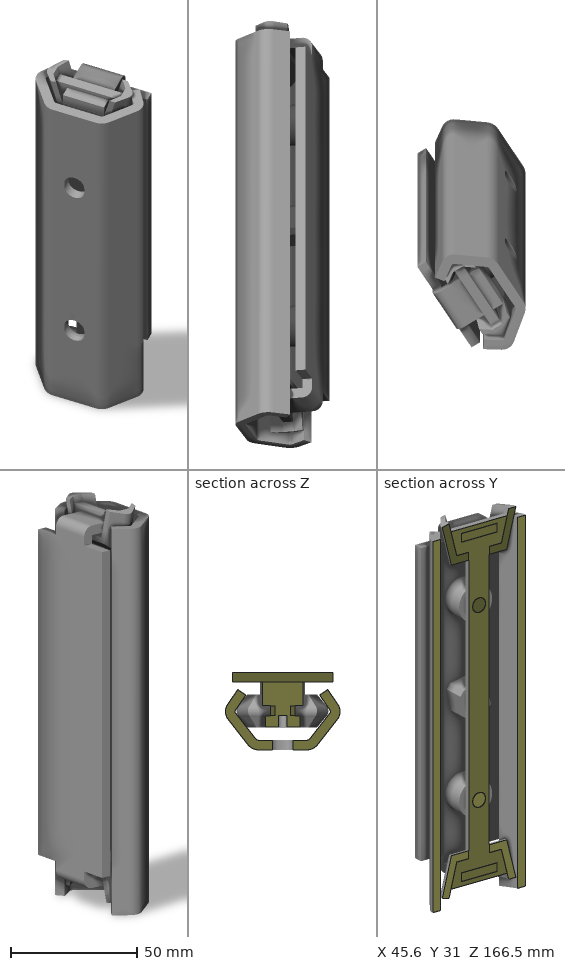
import cadquery as cq
import math

sheet = 4.0
overall_height = 166.5

housing_length = 160.0
front_corner_x = 12.2
side_corner_x = 24.0
side_corner_y = 15.2
lip_x = 17.8
lip_y = 24.1
front_fold_radius = 6.0
side_fold_radius = 5.0
slot_width = 8.5
slot_height = 11.0
slot_pitch = 80.0

carrier_rear_y = 31.0
carrier_front_y = carrier_rear_y - sheet
carrier_width = 40.0
tab_top = housing_length
carrier_middle_z = 85.0
carrier_length = 134.9
tab_width = 17.7
tab_tip_y = 9.2

clip_middle_y = 15.5
clip_half_height = 6.5
clip_depth = 6.7
rim_outer_depth = 4.3
nose_half_height = 2.3
nose_depth = 1.0
floor_half_height = 2.25
floor_depth = 3.7
arm_angle = math.radians(14.5)
clip_base_z = 147.4
base_half_width = 13.7

spine_rear_y = 17.7
spine_front_y = spine_rear_y - sheet
head_top = 162.0
web_width = 10.0

roller_diameter = 16.2
roller_pitch = 84.0
roller_heights = [carrier_middle_z + side * roller_pitch / 2 for side in (1, -1)]
axle_diameter = 6.0
disc_diameter = 14.0
disc_front_y = tab_tip_y
disc_bore = 3.2
block_side = 13.3
block_chamfer = 2.0
block_turn = 10.0


def shifted_corner(before, corner, after, distance):
    """Corner of an open outline moved to the left of its two sides by a distance."""
    angle_in = math.atan2(corner[1] - before[1], corner[0] - before[0])
    angle_out = math.atan2(after[1] - corner[1], after[0] - corner[0])
    middle = (angle_in + angle_out) / 2
    reach = distance / math.cos((angle_out - angle_in) / 2)
    return corner[0] - reach * math.sin(middle), corner[1] + reach * math.cos(middle)


def mirrored(half):
    """The points of a half outline on the other side of X = 0, in closing order."""
    return [(-x, y) for x, y in reversed(half)]


def box_between(width, y_low, y_high, z_low, z_high):
    """A box centred on X = 0."""
    corner = cq.Vector(-width / 2, y_low, z_low)
    return cq.Workplane(cq.Solid.makeBox(width, y_high - y_low, z_high - z_low, corner))


def cylinder_along_y(diameter, z, y_low, y_high):
    return cq.Workplane("XZ", (0, y_high, z)).circle(diameter / 2).extrude(y_high - y_low)


def other_end(body):
    """The same shape at the lower end of the carrier."""
    return body.mirror("XY", (0, 0, carrier_middle_z))


def make_housing():
    front = (front_corner_x, 0)
    side = (side_corner_x, side_corner_y)
    lip = (lip_x, lip_y)
    lip_angle = math.atan2(lip_y - side_corner_y, lip_x - side_corner_x)
    inner_lip = (lip_x - sheet * math.sin(lip_angle), lip_y + sheet * math.cos(lip_angle))
    inner_side = shifted_corner(front, side, lip, sheet)
    inner_front = shifted_corner((-front_corner_x, 0), front, side, sheet)
    right_half = [front, side, lip, inner_lip, inner_side, inner_front]
    body = cq.Workplane("XY").polyline(right_half + mirrored(right_half)).close().extrude(housing_length)
    folds = [
        (front, front_fold_radius),
        (inner_front, front_fold_radius - sheet),
        (side, side_fold_radius),
        (inner_side, side_fold_radius - sheet),
    ]
    for corner, radius in folds:
        for x, y in [corner] + mirrored([corner]):
            edge = cq.selectors.NearestToPointSelector((x, y, housing_length / 2))
            body = body.edges(edge).fillet(radius)
    slots = (
        cq.Workplane("XZ", (0, sheet, housing_length / 2))
        .rarray(1.7, slot_pitch, 1, 2)
        .slot2D(slot_height, slot_width, 90)
        .extrude(sheet)
    )
    return body.cut(slots)


def make_carrier():
    plate = box_between(
        carrier_width,
        carrier_front_y,
        carrier_rear_y,
        carrier_middle_z - carrier_length / 2,
        carrier_middle_z + carrier_length / 2,
    )
    tab_bottom = 2 * carrier_middle_z - tab_top
    strip = box_between(tab_width, tab_tip_y, carrier_rear_y, tab_bottom, tab_top)
    strip = strip.edges("|X and >Y").fillet(sheet)
    window = box_between(tab_width, tab_tip_y, carrier_front_y, tab_bottom + sheet, tab_top - sheet)
    return plate.union(strip.cut(window))


def make_upper_clip():
    """V channel swept round a flat base and two arms that lean outward."""
    arm_end_z = overall_height - clip_depth * math.sin(arm_angle)
    arm_spread = (arm_end_z - clip_base_z) * math.tan(arm_angle)
    end_x = base_half_width + arm_spread
    path = cq.Workplane("XZ").polyline(
        [
            (-end_x, arm_end_z),
            (-base_half_width, clip_base_z),
            (base_half_width, clip_base_z),
            (end_x + clip_depth * math.sin(arm_angle), arm_end_z + clip_depth * math.cos(arm_angle)),
        ]
    )
    inward = cq.Vector(math.cos(arm_angle), 0, math.sin(arm_angle))
    along = cq.Vector(math.sin(arm_angle), 0, -math.cos(arm_angle))
    section = cq.Plane((-end_x, clip_middle_y, arm_end_z), inward, along)
    profile = (
        cq.Workplane(section)
        .moveTo(nose_depth, nose_half_height)
        .lineTo(rim_outer_depth, clip_half_height)
        .lineTo(clip_depth, clip_half_height)
        .lineTo(floor_depth, floor_half_height)
        .lineTo(floor_depth, -floor_half_height)
        .lineTo(clip_depth, -clip_half_height)
        .lineTo(rim_outer_depth, -clip_half_height)
        .lineTo(nose_depth, -nose_half_height)
        .threePointArc((0, 0), (nose_depth, nose_half_height))
        .close()
    )
    channel = profile.sweep(path, transition="right")
    trim_size = 2 * end_x
    trim = cq.Workplane(cq.Solid.makeBox(trim_size, trim_size, trim_size, cq.Vector(0, 0, arm_end_z)))
    web_slot = box_between(web_width, spine_front_y, spine_rear_y, clip_base_z, clip_base_z + clip_depth)
    return channel.cut(trim).cut(web_slot)


def make_spine():
    head_bottom = clip_base_z + floor_depth

    def half_width(z):
        """Distance from X = 0 to the channel floor of an arm."""
        return base_half_width + (z - clip_base_z) * math.tan(arm_angle) - floor_depth / math.cos(arm_angle)

    right_side = [(half_width(head_bottom), head_bottom), (half_width(head_top), head_top)]
    head = (
        cq.Workplane("XZ", (0, spine_rear_y, 0))
        .polyline(right_side + mirrored(right_side))
        .close()
        .extrude(sheet)
    )
    head = head.cut(box_between(tab_width, spine_front_y, spine_rear_y, tab_top - sheet, tab_top))
    web_bottom = 2 * carrier_middle_z - head_bottom
    web = box_between(web_width, spine_front_y, spine_rear_y, web_bottom, head_bottom)
    spine = web.union(head).union(other_end(head))
    for z in roller_heights:
        spine = spine.cut(cylinder_along_y(axle_diameter, z, spine_front_y, spine_rear_y))
    return spine


def make_roller(z):
    """Wheel behind the spine and smaller bored disc in front of it, joined by an axle."""
    wheel = cylinder_along_y(roller_diameter, z, spine_rear_y, carrier_front_y)
    axle = cylinder_along_y(axle_diameter, z, spine_front_y, spine_rear_y)
    disc = cylinder_along_y(disc_diameter, z, disc_front_y, spine_front_y)
    bore = cylinder_along_y(disc_bore, z, disc_front_y, spine_front_y)
    return wheel.union(axle).union(disc.cut(bore))


def make_block():
    block = box_between(
        block_side,
        spine_rear_y,
        carrier_front_y,
        carrier_middle_z - block_side / 2,
        carrier_middle_z + block_side / 2,
    )
    block = block.edges("|Y").chamfer(block_chamfer)
    return block.rotate((0, 0, carrier_middle_z), (0, -1, carrier_middle_z), block_turn)


housing = make_housing()
carrier = make_carrier()
upper_clip = make_upper_clip()
clips = [upper_clip, other_end(upper_clip)]
spine = make_spine()
rollers = [make_roller(z) for z in roller_heights]
block = make_block()

bodies = [housing, carrier, *clips, spine, *rollers, block]
result = cq.Compound.makeCompound([body.val() for body in bodies])